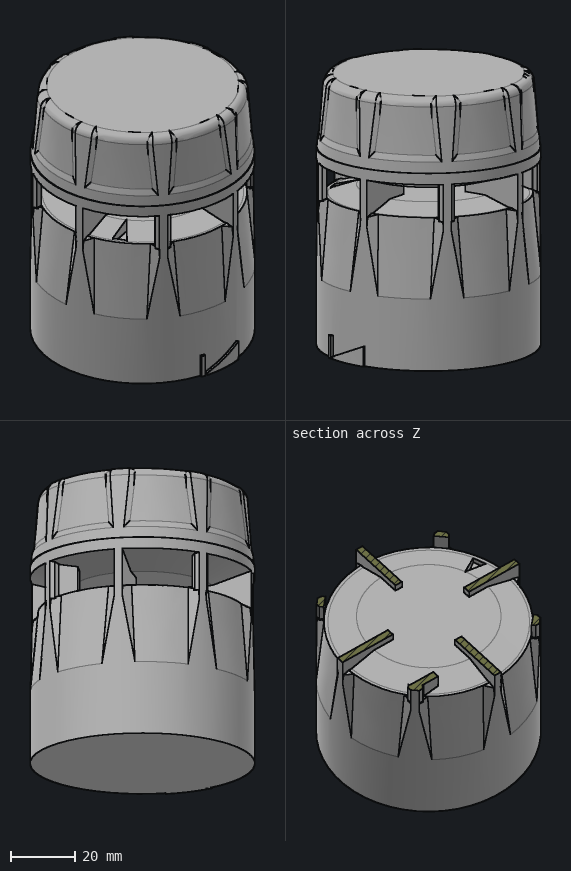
import cadquery as cq
import math

body_radius = 35.0
total_height = 87.05
clearance = 2.0

sector_count = 8
pitch = 360.0 / sector_count

cap_seam_z = 63.4
cap_base_radius = 34.8
cap_top_radius = 32.73
cap_fillet = 3.0
recess_depth = 0.5
recess_floor_fillet = 3.2
recess_floor_rise = 0.05
recess_sill_z = 67.0
recess_sill_rise = 1.5
recess_cover_width = 6.0
rib_half_width_low = 1.55
rib_half_width_high = 2.7
rib_bevel = 1.25
bend_steps = 6
rib_margin = 0.3

slot_floor_z = 47.7
slot_lip_z = 48.65
lip_outer_radius = 32.5
lip_inner_radius = 31.4
slot_ceiling_z = 59.8
chamber_radius = 22.5
chamber_floor_z = 51.3
chamber_ceiling_z = 55.85
post_width = 2.6
short_post_flare = 1.1
long_post_inner_radius = 15.0
baffle_face_x = -24.4
baffle_inner_y = 15.2
baffle_outer_y = 25.0

panel_bottom_z = 23.2
panel_bottom_half_width = 8.38
panel_flare_up = 0.335
panel_flare_out = 2.9
panel_wedge_near = 31.15

notch_corners = [(8.1, -20.8), (8.8, -29.5), (13.2, -28.0)]
notch_bottom_z = 47.0

mark_radius = 35.8
key_angle = -23.8
key_width = 1.4
key_height = 7.3
ramp_start_y = -13.1
ramp_end_y = 0.5
ramp_low_z = 0.8
ramp_high_z = 6.5

panel_angles = [pitch * (i + 0.5) for i in range(sector_count)]
post_angles = [pitch * i for i in range(sector_count)]
cap_taper = math.atan2(cap_base_radius - cap_top_radius, total_height - cap_seam_z)
fillet_tangent = cap_fillet / math.tan((math.pi / 2 + cap_taper) / 2)


def turned(points):
    """Solid of revolution about Z from (radius, z) points."""
    return cq.Workplane("XZ").polyline(points).close().revolve(360, (0, 0, 0), (0, 1, 0))


def around(shape, angles):
    """Copies of a shape turned to each of the angles about Z, joined."""
    copies = cq.Workplane("XY")
    for angle in angles:
        copies = copies.add(shape.rotate((0, 0, 0), (0, 0, 1), angle).vals())
    return copies.combine()


def rounded_cone(base_radius, top_radius, top_z, fillet):
    """Tapered solid standing on the cap seam, with a rounded top edge."""
    cone = turned([(0, cap_seam_z), (base_radius, cap_seam_z), (top_radius, top_z), (0, top_z)])
    return cone.edges(">Z").fillet(fillet)


def cap_rib():
    """Parts of the bevelled rib on the +X side: up the side, round the top edge, onto the top."""
    fillet_start = (
        cap_top_radius + fillet_tangent * math.sin(cap_taper),
        0,
        total_height - fillet_tangent * math.cos(cap_taper),
    )
    down_side = (math.sin(cap_taper), 0, -math.cos(cap_taper))
    section_plane = cq.Plane(origin=fillet_start, xDir=(0, 1, 0), normal=down_side)
    flank = rib_bevel / recess_depth
    inner = -recess_depth - rib_margin
    outer = rib_margin

    def section(half_width):
        inner_half = half_width - flank * inner
        outer_half = half_width - flank * outer
        return [(-inner_half, inner), (inner_half, inner), (outer_half, outer), (-outer_half, outer)]

    high = section(rib_half_width_high)
    side_length = (fillet_start[2] - recess_sill_z) / math.cos(cap_taper) + rib_margin
    side = (
        cq.Workplane(section_plane).polyline(high).close()
        .workplane(offset=side_length).polyline(section(rib_half_width_low)).close()
        .loft(ruled=True)
    )
    bend_angle = math.pi / 2 - cap_taper
    bend_wires = []
    for step in range(bend_steps + 1):
        tilt = cap_taper + bend_angle * step / bend_steps
        bend_plane = cq.Plane(
            origin=(
                cap_top_radius - fillet_tangent + cap_fillet * math.cos(tilt),
                0,
                total_height - cap_fillet + cap_fillet * math.sin(tilt),
            ),
            xDir=(0, 1, 0),
            normal=(math.sin(tilt), 0, -math.cos(tilt)),
        )
        bend_wires.append(cq.Workplane(bend_plane).polyline(high).close().val())
    bend = cq.Workplane(cq.Solid.makeLoft(bend_wires))
    top_plane = cq.Plane(
        origin=(cap_top_radius - fillet_tangent, 0, total_height), xDir=(0, 1, 0), normal=(1, 0, 0)
    )
    top = cq.Workplane(top_plane).polyline(high).close().extrude(-clearance)
    return [side, bend, top]


def cap_recess():
    """Material removed by the one recess facing +X, between two neighbouring ribs."""
    sill_radius = cap_base_radius - (recess_sill_z - cap_seam_z) * math.tan(cap_taper)
    outer_radius = body_radius + clearance
    floor_cover_radius = sill_radius - recess_cover_width
    inner_sill_z = recess_sill_z + clearance * recess_sill_rise / recess_depth
    ring = turned([
        (sill_radius - clearance, inner_sill_z),
        (sill_radius, recess_sill_z),
        (outer_radius, recess_sill_z),
        (outer_radius, total_height + clearance),
        (floor_cover_radius, total_height + clearance),
        (floor_cover_radius, inner_sill_z),
    ])
    half_pitch = math.radians(pitch / 2)
    reach = 2 * body_radius
    edge_x = reach * math.cos(half_pitch)
    edge_y = reach * math.sin(half_pitch)
    sector = (
        cq.Workplane("XY", origin=(0, 0, cap_seam_z))
        .polyline([(0, 0), (edge_x, -edge_y), (edge_x, edge_y)]).close()
        .extrude(total_height)
    )
    back_turn = ((0, 0, 0), (0, 0, 1), 180)
    floor = rounded_cone(
        cap_base_radius - recess_depth,
        cap_top_radius - recess_depth,
        total_height + recess_floor_rise,
        recess_floor_fillet,
    )
    recess = ring.cut(floor).rotate(*back_turn).intersect(sector)
    for side in (-1, 1):
        for part in cap_rib():
            recess = recess.cut(part.rotate((0, 0, 0), (0, 0, 1), side * pitch / 2))
    return recess


def cap():
    """Cap with recessed side panels between the ribs."""
    shape = rounded_cone(cap_base_radius, cap_top_radius, total_height, cap_fillet)
    recess = cap_recess()
    for angle in panel_angles:
        shape = shape.cut(recess.rotate((0, 0, 0), (0, 0, 1), angle))
    return shape


def panel_wedge():
    """Wedge facing +X whose flanks bound one lower panel."""
    corner_distance = math.sqrt(body_radius**2 - panel_bottom_half_width**2)
    far = body_radius + clearance

    def section(distance):
        low = panel_bottom_half_width + panel_flare_out * (distance - corner_distance)
        height = slot_lip_z + clearance - panel_bottom_z
        high = low + panel_flare_up * height
        return [(-low, 0), (low, 0), (high, height), (-high, height)]

    return (
        cq.Workplane("YZ", origin=(panel_wedge_near, 0, panel_bottom_z))
        .polyline(section(panel_wedge_near)).close()
        .workplane(offset=far - panel_wedge_near).polyline(section(far)).close()
        .loft(ruled=True)
    )


def posts():
    """Posts left in the slot: long ones on the axes, short flared ones between, and a baffle."""
    height = slot_ceiling_z - panel_bottom_z

    def post(inner_radius):
        length = body_radius + clearance - inner_radius
        box = cq.Workplane("XY").box(length, post_width, height, centered=(False, True, False))
        return box.translate((inner_radius, 0, panel_bottom_z))

    long_posts = around(post(long_post_inner_radius), post_angles[0::2])
    short_posts = around(post(lip_outer_radius), post_angles[1::2])
    half_width = post_width / 2
    wide_half = half_width + short_post_flare
    flare_radius = body_radius - short_post_flare
    flare = (
        cq.Workplane("XY", origin=(0, 0, slot_floor_z))
        .polyline([
            (body_radius, -half_width),
            (body_radius, half_width),
            (flare_radius, wide_half),
            (lip_outer_radius, wide_half),
            (lip_outer_radius, -wide_half),
            (flare_radius, -wide_half),
        ])
        .close()
        .extrude(slot_ceiling_z - slot_floor_z)
    )
    flares = around(flare, post_angles[1::2])
    baffle = (
        cq.Workplane("XY")
        .box(post_width, baffle_outer_y - baffle_inner_y, height, centered=False)
        .translate((baffle_face_x, baffle_inner_y, panel_bottom_z))
    )
    return long_posts.union(short_posts).union(flares).union(baffle)


def slot():
    """Material removed by the vent slot and its inner chamber."""
    outer_radius = body_radius + clearance
    opening = turned([
        (0, chamber_floor_z),
        (chamber_radius, chamber_floor_z),
        (lip_inner_radius, slot_lip_z),
        (lip_outer_radius, slot_lip_z),
        (body_radius, slot_floor_z),
        (outer_radius, slot_floor_z),
        (outer_radius, slot_ceiling_z),
        (body_radius, slot_ceiling_z),
        (chamber_radius, chamber_ceiling_z),
        (0, chamber_ceiling_z),
    ])
    return opening.cut(posts())


def panels():
    """Material removed by the lower panels, which open upward into the slot."""
    outer_radius = body_radius + clearance
    lean = (body_radius - lip_outer_radius) / (slot_lip_z - panel_bottom_z)
    top_z = slot_lip_z + clearance
    ring = turned([
        (body_radius + clearance * lean, panel_bottom_z - clearance),
        (outer_radius, panel_bottom_z - clearance),
        (outer_radius, top_z),
        (lip_outer_radius - clearance * lean, top_z),
    ])
    return around(panel_wedge().intersect(ring), panel_angles).cut(posts())


def floor_notch():
    """Small three-cornered notch in the sloping chamber floor."""
    depth = chamber_floor_z - notch_bottom_z
    return cq.Workplane("XY", origin=(0, 0, notch_bottom_z)).polyline(notch_corners).close().extrude(depth)


def base_marks():
    """Upright key and rising ramp standing proud of the base on the +X side."""
    key = (
        cq.Workplane("XY")
        .box(clearance, key_width, key_height, centered=(False, True, False))
        .translate((mark_radius - clearance, 0, 0))
        .rotate((0, 0, 0), (0, 0, 1), key_angle)
    )
    ramp = (
        cq.Workplane("YZ")
        .polyline([
            (ramp_start_y, 0),
            (ramp_end_y, 0),
            (ramp_end_y, ramp_high_z),
            (ramp_start_y, ramp_low_z),
        ])
        .close()
        .extrude(body_radius + clearance)
        .intersect(cq.Workplane("XY").circle(mark_radius).extrude(ramp_high_z))
    )
    return key.union(ramp)


body = cq.Workplane("XY").circle(body_radius).extrude(cap_seam_z)
body = body.cut(slot()).cut(panels()).cut(floor_notch())
result = body.union(cap()).union(base_marks())